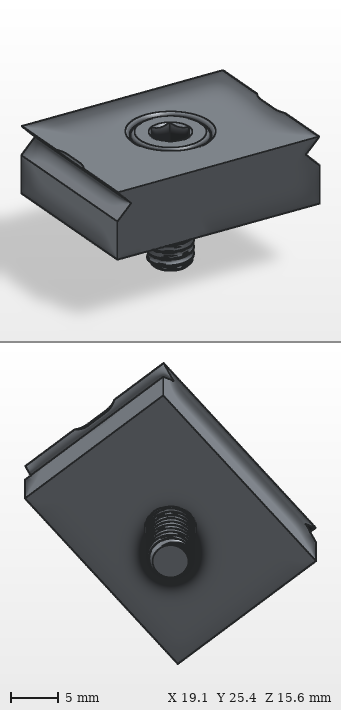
import cadquery as cq
import math

BLOCK_LENGTH_X = 19.05
BLOCK_WIDTH_Y = 25.4
BLOCK_HEIGHT = 7.94
NOTCH_DEPTH = 1.72
LIP_INSET = 0.07
LIP_LAND = 0.06
NOTCH_APEX_DROP = NOTCH_DEPTH - LIP_INSET + LIP_LAND

RELIEF_DEPTH = 0.41
RELIEF_FLAT_LENGTH = 2.56
RELIEF_CORNER_RADIUS = 2.8

THREAD_DIAMETER = 5.0
THREAD_PITCH = 0.8
THREAD_DEPTH = 0.65 * THREAD_PITCH
CREST_WIDTH = THREAD_PITCH / 8
FLANK_HALF_ANGLE = math.radians(30)
FLANK_STEPS = 4
TIP_CHAMFER = 0.6
CREST_ABOVE_TIP = 0.2
SHANK_LENGTH = 10.5
HEAD_DIAMETER = 8.5
HEAD_HEIGHT = 5.0
HEAD_CHAMFER = 0.43
HEAD_RECESS = 0.06
SOCKET_ACROSS_FLATS = 4.0
SOCKET_DEPTH = 2.8
SOCKET_RIM_DIAMETER = 4.65
SOCKET_CONE_ANGLE = math.radians(45)

COUNTERBORE_DIAMETER = 8.7
COUNTERBORE_CHAMFER = 0.45
CLEARANCE_DIAMETER = 5.5

HEAD_TOP = BLOCK_HEIGHT - HEAD_RECESS
HEAD_SEAT = HEAD_TOP - HEAD_HEIGHT
SCREW_TIP = HEAD_SEAT - SHANK_LENGTH


def notched_profile():
    half = BLOCK_WIDTH_Y / 2
    apex_z = BLOCK_HEIGHT - NOTCH_APEX_DROP
    right_side = [
        (half, 0),
        (half, apex_z - NOTCH_DEPTH),
        (half - NOTCH_DEPTH, apex_z),
        (half - LIP_INSET, BLOCK_HEIGHT - LIP_LAND),
        (half - LIP_INSET, BLOCK_HEIGHT),
    ]
    left_side = [(-y, z) for y, z in reversed(right_side)]
    return cq.Workplane("YZ").polyline(right_side + left_side).close()


def lip_relief(side):
    """Cutter for the lip on the +Y (side = 1) or -Y (side = -1) edge, ending inside the V-notch."""
    wall_y = BLOCK_WIDTH_Y / 2 - LIP_INSET - RELIEF_DEPTH
    flat_half = RELIEF_FLAT_LENGTH / 2
    end_x = flat_half + RELIEF_CORNER_RADIUS
    end_y = wall_y + RELIEF_CORNER_RADIUS
    mid_x = flat_half + RELIEF_CORNER_RADIUS * math.sin(math.pi / 4)
    mid_y = end_y - RELIEF_CORNER_RADIUS * math.cos(math.pi / 4)
    return (
        cq.Workplane("XY", origin=(0, 0, BLOCK_HEIGHT - NOTCH_APEX_DROP))
        .moveTo(-flat_half, side * wall_y)
        .lineTo(flat_half, side * wall_y)
        .threePointArc((mid_x, side * mid_y), (end_x, side * end_y))
        .lineTo(-end_x, side * end_y)
        .threePointArc((-mid_x, side * mid_y), (-flat_half, side * wall_y))
        .close()
        .extrude(NOTCH_APEX_DROP)
    )


def screw_hole():
    counterbore_radius = COUNTERBORE_DIAMETER / 2
    clearance_radius = CLEARANCE_DIAMETER / 2
    return (
        cq.Workplane("XZ")
        .polyline([
            (0, 0),
            (clearance_radius, 0),
            (clearance_radius, HEAD_SEAT),
            (counterbore_radius, HEAD_SEAT),
            (counterbore_radius, BLOCK_HEIGHT - COUNTERBORE_CHAMFER),
            (counterbore_radius + COUNTERBORE_CHAMFER, BLOCK_HEIGHT),
            (0, BLOCK_HEIGHT),
        ])
        .close()
        .revolve(360, (0, 0, 0), (0, 1, 0))
    )


def make_block():
    block = notched_profile().extrude(BLOCK_LENGTH_X / 2, both=True)
    for side in (1, -1):
        block = block.cut(lip_relief(side))
    return block.cut(screw_hole())


def thread_section():
    """Cross section of the single-start thread: crest and root arcs joined by two spiral flanks."""
    crest_radius = THREAD_DIAMETER / 2
    root_radius = crest_radius - THREAD_DEPTH
    crest_half_angle = math.pi * CREST_WIDTH / THREAD_PITCH
    flank_angle = 2 * math.pi * THREAD_DEPTH * math.tan(FLANK_HALF_ANGLE) / THREAD_PITCH

    def flank_point(step):
        fraction = step / FLANK_STEPS
        radius = crest_radius - THREAD_DEPTH * fraction
        angle = crest_half_angle + flank_angle * fraction
        return (radius * math.cos(angle), radius * math.sin(angle))

    leading_flank = [flank_point(step) for step in range(FLANK_STEPS + 1)]
    trailing_flank = [(x, -y) for x, y in reversed(leading_flank)]
    return (
        cq.Workplane("XY", origin=(0, 0, SCREW_TIP))
        .moveTo(*leading_flank[0])
        .spline(leading_flank[1:], includeCurrent=True)
        .threePointArc((-root_radius, 0), trailing_flank[0])
        .spline(trailing_flank[1:], includeCurrent=True)
        .threePointArc((crest_radius, 0), leading_flank[0])
        .close()
    )


def tip_chamfer_ring():
    """Conical ring that bevels the tip of the thread at 45 degrees."""
    tip_radius = THREAD_DIAMETER / 2 - TIP_CHAMFER
    ring_size = 2 * TIP_CHAMFER
    return (
        cq.Workplane("XZ")
        .polyline([
            (tip_radius, SCREW_TIP),
            (tip_radius + ring_size, SCREW_TIP),
            (tip_radius + ring_size, SCREW_TIP + ring_size),
        ])
        .close()
        .revolve(360, (0, 0, 0), (0, 1, 0))
    )


def make_shank():
    """Right-hand threaded shank, made by twisting the thread section one turn per pitch."""
    twist = 360 * SHANK_LENGTH / THREAD_PITCH
    start_angle = -360 * CREST_ABOVE_TIP / THREAD_PITCH
    thread = thread_section().twistExtrude(SHANK_LENGTH, twist)
    return thread.rotate((0, 0, 0), (0, 0, 1), start_angle).cut(tip_chamfer_ring())


def make_head():
    head = (
        cq.Workplane("XY", origin=(0, 0, HEAD_SEAT))
        .circle(HEAD_DIAMETER / 2)
        .extrude(HEAD_HEIGHT)
        .faces(">Z")
        .chamfer(HEAD_CHAMFER)
    )
    across_corners = SOCKET_ACROSS_FLATS / math.cos(math.pi / 6)
    hexagon = (
        cq.Workplane("XY", origin=(0, 0, HEAD_TOP))
        .transformed(rotate=(0, 0, 90))
        .polygon(6, across_corners)
        .extrude(-SOCKET_DEPTH)
    )
    rim_radius = SOCKET_RIM_DIAMETER / 2
    cone_depth = rim_radius * math.tan(SOCKET_CONE_ANGLE)
    rim_cone = (
        cq.Workplane("XZ")
        .polyline([(0, HEAD_TOP - cone_depth), (rim_radius, HEAD_TOP), (0, HEAD_TOP)])
        .close()
        .revolve(360, (0, 0, 0), (0, 1, 0))
    )
    return head.cut(hexagon).cut(rim_cone)


def make_screw():
    return make_head().union(make_shank())


block = make_block()
screw = make_screw()
result = cq.Compound.makeCompound([block.val(), *screw.vals()])